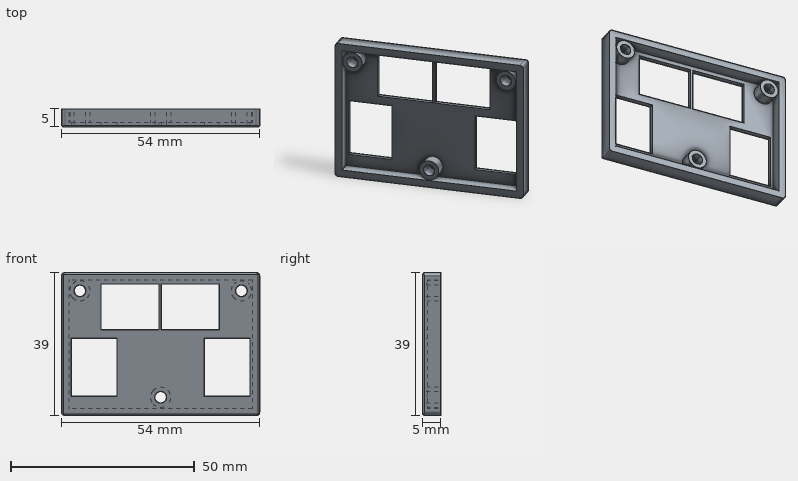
import cadquery as cq

width = 54.0
height = 39.0
depth = 5.0
corner_radius = 1.0
front_chamfer = 0.5

wall = 2.0
face_thickness = 1.3

window_long = 15.75
window_short = 12.4
upper_window_gap = 0.65
upper_pair_center_x = -0.15
upper_window_z = 10.1
lower_window_x = 18.1
lower_window_z = -6.3

screw_hole_diameter = 3.1
boss_diameter = 5.5
screw_x = 22.0
screw_z = 14.5

upper_window_pitch = window_long + upper_window_gap
screw_points = [(-screw_x, screw_z), (screw_x, screw_z), (0, -screw_z)]


def block(size_x, size_z, front_y, back_y, center_x=0.0, center_z=0.0):
    """Rectangular block spanning front_y to back_y."""
    size_y = back_y - front_y
    center = (center_x, (front_y + back_y) / 2, center_z)
    return cq.Workplane("XY").box(size_x, size_y, size_z).translate(center)


def cylinders(diameter, front_y, back_y):
    """One cylinder along Y at each screw position."""
    plane = cq.Workplane("XZ", origin=(0, front_y, 0))
    return plane.pushPoints(screw_points).circle(diameter / 2).extrude(front_y - back_y)


def make_tray():
    """Rounded, chamfered outer body with a cavity opening at the back."""
    chamfered = block(width, height, 0, depth).faces("<Y").chamfer(front_chamfer)
    rounded = block(width, height, 0, depth).edges("|Y").fillet(corner_radius)
    body = chamfered.intersect(rounded)
    cavity = block(width - 2 * wall, height - 2 * wall, face_thickness, depth)
    return body.cut(cavity)


def cut_windows(part):
    """Two wide windows side by side at the top, one tall window at each lower side."""
    for side in (-1, 1):
        upper_x = upper_pair_center_x + side * upper_window_pitch / 2
        upper = block(window_long, window_short, 0, face_thickness, upper_x, upper_window_z)
        lower_x = side * lower_window_x
        lower = block(window_short, window_long, 0, face_thickness, lower_x, lower_window_z)
        part = part.cut(upper).cut(lower)
    return part


def add_screw_bosses(part):
    """Bosses from the front face to the back rim, each with a through hole."""
    bosses = cylinders(boss_diameter, face_thickness, depth)
    holes = cylinders(screw_hole_diameter, 0, depth)
    return part.union(bosses).cut(holes)


result = add_screw_bosses(cut_windows(make_tray()))